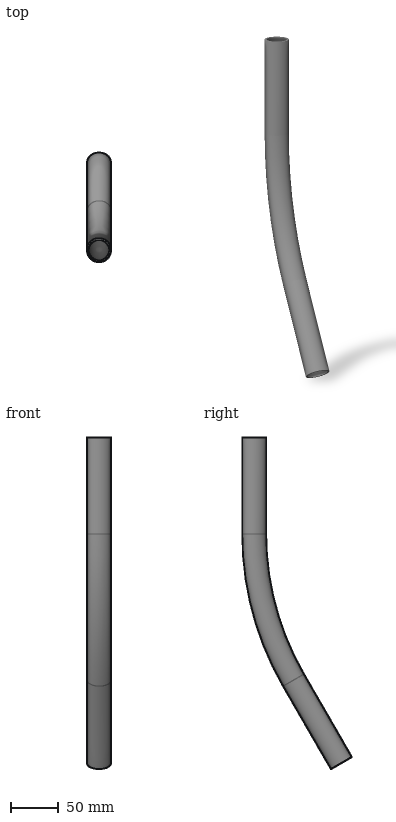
import cadquery as cq
import math

overall_height = 348.5
outer_diameter = 25.5
inner_diameter = 21.2
leg_length = 101.0
bend_angle = 30.0

sin_bend = math.sin(math.radians(bend_angle))
cos_bend = math.cos(math.radians(bend_angle))

end_dip = outer_diameter / 2 * sin_bend

bend_height = overall_height - leg_length - leg_length * cos_bend - end_dip
bend_radius = bend_height / sin_bend


def bend_point(angle):
    """Centreline point (Y, Z) at an angle into the bend, which starts at Z = 0."""
    turn = math.radians(angle)
    return (bend_radius * (1 - math.cos(turn)), -bend_radius * math.sin(turn))


bend_middle = bend_point(bend_angle / 2)
bend_end = bend_point(bend_angle)
lower_end = (bend_end[0] + leg_length * sin_bend, bend_end[1] - leg_length * cos_bend)

centreline = (
    cq.Workplane("YZ")
    .moveTo(0, leg_length)
    .lineTo(0, 0)
    .threePointArc(bend_middle, bend_end)
    .lineTo(*lower_end)
)

result = (
    cq.Workplane("XY", origin=(0, 0, leg_length))
    .circle(outer_diameter / 2)
    .circle(inner_diameter / 2)
    .sweep(centreline)
)